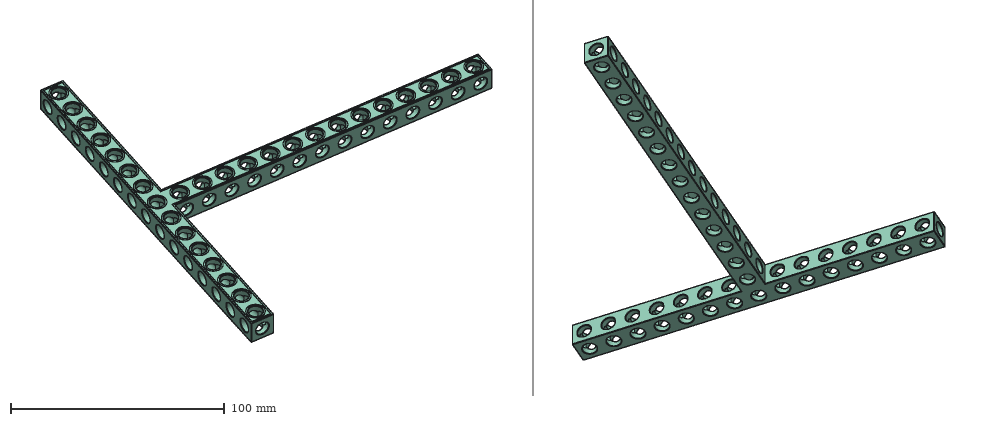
import cadquery as cq

length = 187.5
holes_per_bar = 15
chamfer = 0.3
lip_width = 0.8
lip_outer_diameter = 9.2
recess_depth = 0.2

pitch = length / holes_per_bar
width = pitch
half_width = width / 2
recess_inset = chamfer + lip_width
lip_outer_radius = lip_outer_diameter / 2
hole_radius = lip_outer_radius - recess_inset

stem_center_y = (length - width) / 2
crossbar_end = length / 2
stem_end = length - half_width
crossbar_offsets = [(i - holes_per_bar // 2) * pitch for i in range(holes_per_bar)]
stem_offsets = [i * pitch for i in range(1, holes_per_bar)]
vertical_holes = [(x, 0) for x in crossbar_offsets] + [(0, y) for y in stem_offsets]


def crossbar(inset, height):
    """Block along X, its outline set in on all sides."""
    return cq.Workplane("XY").box(length - 2 * inset, width - 2 * inset, height)


def stem(inset, height):
    """Block along Y that starts at the front of the crossbar, its outline set in on all sides."""
    block = cq.Workplane("XY").box(width - 2 * inset, length - 2 * inset, height)
    return block.translate((0, stem_center_y, 0))


def make_body():
    """Two chamfered square bars joined into a tee."""
    bars = [crossbar(0, width), stem(0, width)]
    chamfered_crossbar, chamfered_stem = [bar.edges().chamfer(chamfer) for bar in bars]
    return chamfered_crossbar.union(chamfered_stem)


def make_top_recess():
    """Shallow T-shaped pocket that leaves a border and a ring around each hole."""
    pocket = crossbar(recess_inset, recess_depth).union(stem(recess_inset, recess_depth))
    pocket = pocket.translate((0, 0, half_width - recess_depth / 2))
    rings = cq.Workplane("XY").pushPoints(vertical_holes).circle(lip_outer_radius).extrude(width)
    return pocket.cut(rings)


def make_bores(plane, points):
    """Straight holes normal to the plane, through the whole part."""
    return cq.Workplane(plane).pushPoints(points).circle(hole_radius).extrude(length, both=True)


def make_countersink(point, outward):
    """Cone that chamfers a hole opening at a point on a face."""
    center = cq.Vector(*point)
    direction = cq.Vector(*outward)
    bottom = center - direction * chamfer
    return cq.Solid.makeCone(hole_radius, hole_radius + chamfer, chamfer, bottom, direction)


openings = []
for x, y in vertical_holes:
    openings += [((x, y, side * half_width), (0, 0, side)) for side in (1, -1)]
for x in crossbar_offsets:
    openings.append(((x, -half_width, 0), (0, -1, 0)))
    if x != 0:
        openings.append(((x, half_width, 0), (0, 1, 0)))
for y in stem_offsets:
    openings += [((side * half_width, y, 0), (side, 0, 0)) for side in (1, -1)]
openings += [((side * crossbar_end, 0, 0), (side, 0, 0)) for side in (1, -1)]
openings.append(((0, stem_end, 0), (0, 1, 0)))

countersinks = cq.Compound.makeCompound([make_countersink(*opening) for opening in openings])

result = make_body().cut(make_top_recess())
result = result.cut(make_bores("XY", vertical_holes))
result = result.cut(make_bores("XZ", [(x, 0) for x in crossbar_offsets]))
result = result.cut(make_bores("YZ", [(y, 0) for y in [0] + stem_offsets]))
result = result.cut(cq.Workplane(countersinks))